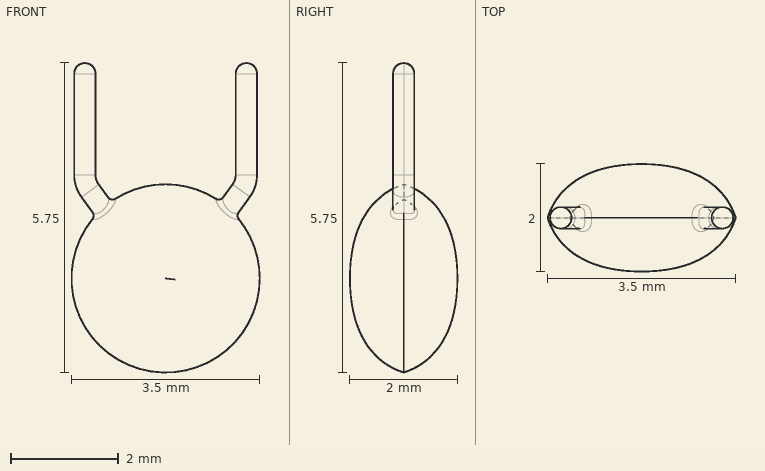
import cadquery as cq
import math

BODY_RADIUS = 1.75
BODY_HALF_THICKNESS = 1.0
RIM_HALF_ANGLE = 72.0
POLE_HANDLE = 0.95
RIM_HANDLE = 0.66

PIN_DIAMETER = 0.4
PIN_SPACING = 3.0
PIN_TOP_Z = 4.0
PIN_BEND_TOP_Z = 1.925
PIN_LEAN_ANGLE = 36.0
PIN_BEND_RADIUS = 0.5
PIN_LEG_LENGTH = 0.9

ROOT_FILLET_RADIUS = 0.1

pin_radius = PIN_DIAMETER / 2


def make_front_dome():
    """Revolve the section of the -Y dome about the Y axis."""
    rim_angle = math.radians(RIM_HALF_ANGLE)
    pole = (0, -BODY_HALF_THICKNESS)
    shoulder = (POLE_HANDLE, -BODY_HALF_THICKNESS)
    flank = (
        BODY_RADIUS - RIM_HANDLE * math.cos(rim_angle),
        -RIM_HANDLE * math.sin(rim_angle),
    )
    rim = (BODY_RADIUS, 0)
    section = cq.Workplane("XY").bezier([pole, shoulder, flank, rim]).lineTo(0, 0).close()
    return section.revolve(360, (0, 0, 0), (0, 1, 0))


def make_pin():
    """Sweep the right-hand pin from its domed top down into the body."""
    x = PIN_SPACING / 2
    lean = math.radians(PIN_LEAN_ANGLE)
    dome_z = PIN_TOP_Z - pin_radius
    bend_centre_x = x - PIN_BEND_RADIUS

    def bend_point(angle):
        return (
            bend_centre_x + PIN_BEND_RADIUS * math.cos(angle),
            PIN_BEND_TOP_Z - PIN_BEND_RADIUS * math.sin(angle),
        )

    bend_end = bend_point(lean)
    root = (
        bend_end[0] - PIN_LEG_LENGTH * math.sin(lean),
        bend_end[1] - PIN_LEG_LENGTH * math.cos(lean),
    )
    path = (
        cq.Workplane("XZ")
        .moveTo(x, dome_z)
        .lineTo(x, PIN_BEND_TOP_Z)
        .threePointArc(bend_point(lean / 2), bend_end)
        .lineTo(*root)
    )
    rod = cq.Workplane("XY", origin=(x, 0, dome_z)).circle(pin_radius).sweep(path)
    dome = cq.Workplane("XY", origin=(x, 0, dome_z)).sphere(pin_radius)
    return rod.union(dome)


def keep_front_half(solid):
    """Keep the part of a pin that lies on the -Y side of the rim plane."""
    reach = 2 * PIN_TOP_Z
    front_space = cq.Workplane("XZ").rect(reach, reach).extrude(PIN_DIAMETER)
    return solid.intersect(front_space)


def make_front_half():
    """Join the -Y dome and pin halves, then blend the pin roots into the dome."""
    right_pin = keep_front_half(make_pin())
    left_pin = right_pin.mirror("YZ")
    half = make_front_dome().union(right_pin).union(left_pin)
    root_zone = cq.selectors.BoxSelector(
        (-PIN_SPACING / 2, -PIN_DIAMETER, pin_radius),
        (PIN_SPACING / 2, -pin_radius / 4, BODY_RADIUS - pin_radius),
    )
    return half.edges(root_zone).fillet(ROOT_FILLET_RADIUS)


front_half = make_front_half()
result = front_half.union(front_half.mirror("XZ"))